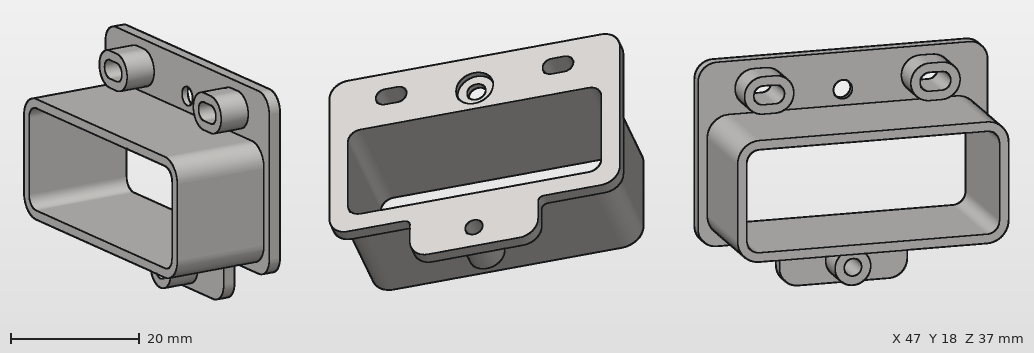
import cadquery as cq

plate_width = 47.0
plate_height = 29.6
plate_thickness = 2.0
plate_corner_radius = 3.0

overall_height = 37.0
tab_width = 20.75
tab_center_x = 0.1
tab_corner_radius = 3.0
tab_root_radius = 1.0

overall_depth = 18.0
sleeve_length = overall_depth - plate_thickness
sleeve_edge_margin = 1.5
sleeve_wall = 1.5
sleeve_width = plate_width - 2 * sleeve_edge_margin
sleeve_height = 19.55
sleeve_corner_radius = 3.52
sleeve_center_z = -plate_height + sleeve_edge_margin + sleeve_height / 2
opening_width = sleeve_width - 2 * sleeve_wall
opening_height = sleeve_height - 2 * sleeve_wall
opening_corner_radius = sleeve_corner_radius - sleeve_wall

boss_length = 5.0
slot_spacing = 27.0
slot_z = -4.5
slot_width = 3.0
slot_length = 5.0
slot_wall = 1.5
tab_boss_z = -33.3
tab_boss_diameter = 5.8
tab_hole_diameter = 2.8

center_hole_z = -6.0
center_hole_diameter = 3.0
counterbore_diameter = 6.0
counterbore_depth = 1.0

slot_points = [(-slot_spacing / 2, slot_z), (slot_spacing / 2, slot_z)]


def front_plane(y=0.0):
    """Sketch plane facing -Y, with local X and Y along global X and Z."""
    return cq.Workplane("XZ", origin=(0, y, 0))


def cutting_plane():
    """Sketch plane at the back of the plate, from which cuts run forward."""
    return front_plane(plate_thickness)


def rounded_block(plane, width, height, center_z, depth, radius):
    block = plane.center(0, center_z).rect(width, height).extrude(depth)
    return block.edges("|Y").fillet(radius)


def make_flange():
    plate = rounded_block(
        cutting_plane(), plate_width, plate_height, -plate_height / 2,
        plate_thickness, plate_corner_radius,
    )
    tab_height = overall_height - plate_height / 2
    tab = (
        cutting_plane()
        .center(tab_center_x, -overall_height + tab_height / 2)
        .rect(tab_width, tab_height)
        .extrude(plate_thickness)
        .faces("<Z")
        .edges("|Y")
        .fillet(tab_corner_radius)
    )
    margin = 0.45
    left = tab_center_x - tab_width / 2
    root_corners = cq.selectors.BoxSelector(
        (left - margin, -margin, -plate_height - margin),
        (left + tab_width + margin, plate_thickness + margin, -plate_height + margin),
    )
    return plate.union(tab).edges("|Y").edges(root_corners).fillet(tab_root_radius)


def make_sleeve():
    return rounded_block(
        front_plane(), sleeve_width, sleeve_height, sleeve_center_z,
        sleeve_length, sleeve_corner_radius,
    )


def make_opening():
    return rounded_block(
        cutting_plane(), opening_width, opening_height, sleeve_center_z,
        overall_depth, opening_corner_radius,
    )


def make_bosses():
    slotted = (
        front_plane()
        .pushPoints(slot_points)
        .slot2D(slot_length + 2 * slot_wall, slot_width + 2 * slot_wall)
        .extrude(boss_length)
    )
    round_boss = (
        front_plane()
        .center(tab_center_x, tab_boss_z)
        .circle(tab_boss_diameter / 2)
        .extrude(boss_length)
    )
    return slotted.union(round_boss)


def make_holes():
    slots = cutting_plane().pushPoints(slot_points).slot2D(slot_length, slot_width).extrude(overall_depth)
    center_hole = (
        cutting_plane().center(0, center_hole_z).circle(center_hole_diameter / 2).extrude(overall_depth)
    )
    counterbore = (
        cutting_plane().center(0, center_hole_z).circle(counterbore_diameter / 2).extrude(counterbore_depth)
    )
    tab_hole = (
        cutting_plane().center(tab_center_x, tab_boss_z).circle(tab_hole_diameter / 2).extrude(overall_depth)
    )
    return slots.union(center_hole).union(counterbore).union(tab_hole)


body = make_flange().union(make_sleeve()).union(make_bosses())
result = body.cut(make_opening()).cut(make_holes())